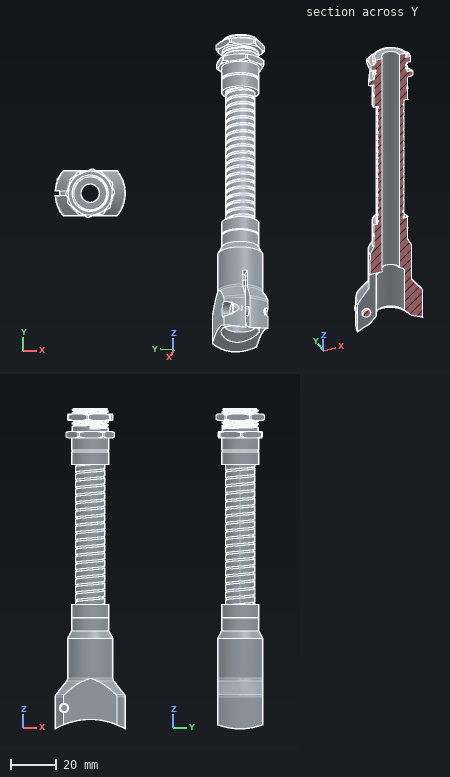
import cadquery as cq
import math

TOTAL_HEIGHT = 141.14
FOOT_CORNER_Z = 14.7
FOOT_CONE_TOP_Z = 21.7
BARREL_TOP_Z = 39.9
NECK_BOTTOM_Z = 43.2
COLLAR_LENGTH = 11.7
LOWER_COLLAR_TOP_Z = NECK_BOTTOM_Z + COLLAR_LENGTH
FLANGE_BOTTOM_Z = 128.1
UPPER_COLLAR_BOTTOM_Z = FLANGE_BOTTOM_Z - COLLAR_LENGTH
HEX_THICKNESS = 3.0
LOCKNUT_BOTTOM_Z = 135.8

FOOT_RADIUS = 15.5
BARREL_RADIUS = 10.0
COLLAR_RADIUS = 8.25
HOSE_RADIUS = 6.5
PASSAGE_RADIUS = 4.0

FOOT_FILLET = 2.0
FOOT_HALF_WIDTH = 10.0
FOOT_FLAT_TOP_Z = 22.3
SADDLE_RADIUS = 31.0

BORE_RADIUS = 6.5
BORE_TOP_Z = 27.7
BORE_CONE_HEIGHT = 1.7
FLARE_TOP_Z = 6.0

SLIT_WIDTH = 2.0
SLIT_TOP_Z = 29.05
SCREW_X = -11.5
SCREW_Z = 9.2
SCREW_RADIUS = 2.0
SCREW_TIP_RECESS = 1.5
SCREW_TIP_CHAMFER = 0.4
COUNTERBORE_RADIUS = 3.5
HEAD_RADIUS = 3.2
HEAD_HEIGHT = 4.0
HEAD_TOP_Y = 6.6
HEAD_CHAMFER = 0.4

HOSE_PITCH = 3.31
HOSE_GROOVE_WIDTH = 0.9
HOSE_GROOVE_DEPTH = 0.35
HOSE_GROOVE_START_Z = 51.44
HOSE_GROOVE_TURNS = 20

LOWER_SEAM_Z = 49.0
LOWER_SEAM_WIDTH = 0.4
UPPER_SEAM_Z = 122.4
UPPER_SEAM_WIDTH = 0.8
SEAM_DEPTH = 0.25

THREAD_RADIUS = 8.0
THREAD_PITCH = 1.5
THREAD_DEPTH = 0.85
THREAD_ROOT_FLAT = 0.3
THREAD_START_Z = 132.7
THREAD_START_ANGLE = -90.0
SPIGOT_CHAMFER = 0.7

HEX_SIDES = 6
HEX_ACROSS_FLATS = 19.0
HEX_CORNER_RADIUS = 10.76
HEX_CHAMFER_RADIUS = 9.7
HEX_CHAMFER_ANGLE = 30.0
FLANGE_ANGLE = 2.3
LOCKNUT_ANGLE = 24.1

GROOVE_OVERSHOOT = 0.15
CUT_MARGIN = 1.0


def cylinder(radius, bottom, top):
    return cq.Workplane("XY").workplane(offset=bottom).circle(radius).extrude(top - bottom)


def cylinder_along_y(radius, x, z, y_start, y_end):
    plane = cq.Plane(origin=(x, y_start, z), xDir=(1, 0, 0), normal=(0, 1, 0))
    return cq.Workplane(plane).circle(radius).extrude(y_end - y_start)


def turned(points):
    """Solid of revolution about Z from (radius, z) points."""
    return cq.Workplane("XZ").polyline(points).close().revolve(360, (0, 0, 0), (0, 1, 0))


def helical_cutter(radius, depth, root_width, mouth_width, pitch, start_z, turns):
    """Right-handed groove cutter with flared flanks, standing slightly proud of the radius."""
    root_radius = radius - depth
    outer_radius = radius + GROOVE_OVERSHOOT
    flare = (mouth_width - root_width) / 2 / depth
    outer_half = mouth_width / 2 + flare * GROOVE_OVERSHOOT
    root_half = root_width / 2
    path = cq.Workplane(obj=cq.Wire.makeHelix(pitch, turns * pitch, radius))
    section = cq.Workplane("XZ").polyline([
        (root_radius, -root_half),
        (outer_radius, -outer_half),
        (outer_radius, outer_half),
        (root_radius, root_half),
    ]).close()
    return section.sweep(path, isFrenet=True).translate((0, 0, start_z))


def make_body():
    """Foot, barrel and lower collar turned in one piece, with two flats on the foot."""
    blank = turned([
        (0, 0),
        (FOOT_RADIUS, 0),
        (FOOT_RADIUS, FOOT_CORNER_Z),
        (BARREL_RADIUS, FOOT_CONE_TOP_Z),
        (BARREL_RADIUS, BARREL_TOP_Z),
        (COLLAR_RADIUS, NECK_BOTTOM_Z),
        (COLLAR_RADIUS, LOWER_COLLAR_TOP_Z),
        (0, LOWER_COLLAR_TOP_Z),
    ])
    for corner_z in (FOOT_CORNER_Z, FOOT_CONE_TOP_Z):
        corner = cq.selectors.BoxSelector(
            (-FOOT_RADIUS, -FOOT_RADIUS, corner_z - CUT_MARGIN),
            (FOOT_RADIUS, FOOT_RADIUS, corner_z + CUT_MARGIN),
        )
        blank = blank.edges("%CIRCLE").edges(corner).fillet(FOOT_FILLET)
    for side in (-1, 1):
        flat_cutter = cq.Workplane("XY").box(
            2 * FOOT_RADIUS, FOOT_RADIUS, FOOT_FLAT_TOP_Z, centered=(True, True, False)
        )
        blank = blank.cut(flat_cutter.translate((0, side * (FOOT_HALF_WIDTH + FOOT_RADIUS / 2), 0)))
    return blank


def make_saddle():
    """Round recess under the foot that meets the foot rim at Z = 0."""
    axis_z = -math.sqrt(SADDLE_RADIUS**2 - FOOT_RADIUS**2)
    return cylinder_along_y(SADDLE_RADIUS, 0, axis_z, -FOOT_RADIUS, FOOT_RADIUS)


def make_bore():
    """Barrel bore with a 45 degree flare below and a drill cone above."""
    return turned([
        (0, 0),
        (BORE_RADIUS + FLARE_TOP_Z, 0),
        (BORE_RADIUS, FLARE_TOP_Z),
        (BORE_RADIUS, BORE_TOP_Z),
        (PASSAGE_RADIUS, BORE_TOP_Z + BORE_CONE_HEIGHT),
        (0, BORE_TOP_Z + BORE_CONE_HEIGHT),
    ])


def make_slit():
    return cq.Workplane("XY").box(
        FOOT_RADIUS + CUT_MARGIN, SLIT_WIDTH, SLIT_TOP_Z, centered=(False, True, False)
    ).translate((-FOOT_RADIUS - CUT_MARGIN, 0, 0))


def add_screw(body):
    """Cross screw, head sunk at the +Y side and tip recessed at the -Y side."""
    head_bottom_y = HEAD_TOP_Y - HEAD_HEIGHT
    counterbore = cylinder_along_y(COUNTERBORE_RADIUS, SCREW_X, SCREW_Z, head_bottom_y, FOOT_RADIUS)
    head = cylinder_along_y(HEAD_RADIUS, SCREW_X, SCREW_Z, head_bottom_y, HEAD_TOP_Y)
    head = head.faces(">Y").chamfer(HEAD_CHAMFER)
    tip_y = -FOOT_HALF_WIDTH + SCREW_TIP_RECESS
    hole = cylinder_along_y(SCREW_RADIUS, SCREW_X, SCREW_Z, -FOOT_RADIUS, head_bottom_y)
    shank = cylinder_along_y(SCREW_RADIUS, SCREW_X, SCREW_Z, tip_y, head_bottom_y)
    shank = shank.faces("<Y").chamfer(SCREW_TIP_CHAMFER)
    return body.cut(counterbore).cut(hole).union(head).union(shank)


def make_hose():
    hose = cylinder(HOSE_RADIUS, NECK_BOTTOM_Z, FLANGE_BOTTOM_Z)
    return hose.cut(helical_cutter(
        HOSE_RADIUS, HOSE_GROOVE_DEPTH, HOSE_GROOVE_WIDTH, HOSE_GROOVE_WIDTH,
        HOSE_PITCH, HOSE_GROOVE_START_Z, HOSE_GROOVE_TURNS,
    ))


def make_seam(z, width):
    outer = cylinder(COLLAR_RADIUS + CUT_MARGIN, z - width / 2, z + width / 2)
    return outer.cut(cylinder(COLLAR_RADIUS - SEAM_DEPTH, z - width / 2, z + width / 2))


def make_spigot():
    """Threaded spigot: a longer blank is grooved, then trimmed to length with a chamfered end."""
    turns = math.ceil((TOTAL_HEIGHT - THREAD_START_Z) / THREAD_PITCH) + 1
    groove = helical_cutter(
        THREAD_RADIUS, THREAD_DEPTH, THREAD_ROOT_FLAT, THREAD_PITCH - THREAD_ROOT_FLAT,
        THREAD_PITCH, THREAD_START_Z, turns,
    ).rotate((0, 0, 0), (0, 0, 1), THREAD_START_ANGLE)
    blank_top = THREAD_START_Z + (turns + 2) * THREAD_PITCH
    blank = cylinder(THREAD_RADIUS, FLANGE_BOTTOM_Z, blank_top)
    envelope = cylinder(THREAD_RADIUS, FLANGE_BOTTOM_Z, TOTAL_HEIGHT).faces(">Z").chamfer(SPIGOT_CHAMFER)
    return blank.cut(groove).intersect(envelope)


def make_hexagon(bottom_z, angle):
    """Hexagon with blunted corners and chamfers on both faces."""
    across_corners = HEX_ACROSS_FLATS / math.cos(math.pi / HEX_SIDES)
    prism = cq.Workplane("XY").polygon(HEX_SIDES, across_corners).extrude(HEX_THICKNESS)
    chamfer_drop = (HEX_CORNER_RADIUS - HEX_CHAMFER_RADIUS) * math.tan(math.radians(HEX_CHAMFER_ANGLE))
    envelope = turned([
        (0, 0),
        (HEX_CHAMFER_RADIUS, 0),
        (HEX_CORNER_RADIUS, chamfer_drop),
        (HEX_CORNER_RADIUS, HEX_THICKNESS - chamfer_drop),
        (HEX_CHAMFER_RADIUS, HEX_THICKNESS),
        (0, HEX_THICKNESS),
    ])
    return prism.intersect(envelope).rotate((0, 0, 0), (0, 0, 1), angle).translate((0, 0, bottom_z))


clamp = make_body().cut(make_bore()).cut(make_slit())
clamp = add_screw(clamp).cut(make_saddle())
clamp = clamp.cut(make_seam(LOWER_SEAM_Z, LOWER_SEAM_WIDTH))

upper_collar = cylinder(COLLAR_RADIUS, UPPER_COLLAR_BOTTOM_Z, FLANGE_BOTTOM_Z)
upper_collar = upper_collar.cut(make_seam(UPPER_SEAM_Z, UPPER_SEAM_WIDTH))

result = (
    clamp
    .union(make_hose())
    .union(upper_collar)
    .union(make_spigot())
    .union(make_hexagon(FLANGE_BOTTOM_Z, FLANGE_ANGLE))
    .union(make_hexagon(LOCKNUT_BOTTOM_Z, LOCKNUT_ANGLE))
    .cut(cylinder(PASSAGE_RADIUS, BORE_TOP_Z, TOTAL_HEIGHT + CUT_MARGIN))
)